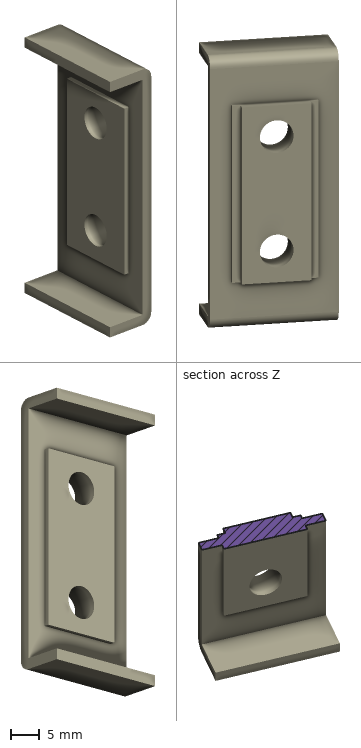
import cadquery as cq

width = 23.0
height = 50.0
wall = 2.0
flange_reach = 9.5
bend_radius = 2.0

pad_width = 15.5
pad_height = 32.5
front_pad_thickness = 1.0
rear_pad_thickness = 0.8
rear_step_width = 12.5
rear_step_thickness = 1.2

hole_diameter = 6.0
hole_spacing = 21.0

web_front = -wall
front_pad_face = web_front - front_pad_thickness
rear_step_face = rear_pad_thickness + rear_step_thickness


def block(size_x, size_z, y_start, y_end):
    """Box centred in X and Z, spanning y_start to y_end."""
    depth = y_end - y_start
    return cq.Workplane("XY").box(size_x, depth, size_z).translate((0, (y_start + y_end) / 2, 0))


def make_channel():
    outer = block(width, height, -flange_reach, 0).edges("|X and >Y").fillet(bend_radius)
    opening = block(width, height - 2 * wall, -flange_reach, web_front)
    return outer.cut(opening)


def make_pads():
    wide_pad = block(pad_width, pad_height, front_pad_face, rear_pad_thickness)
    rear_step = block(rear_step_width, pad_height, rear_pad_thickness, rear_step_face)
    return wide_pad.union(rear_step)


def make_holes():
    length = rear_step_face - front_pad_face
    return (
        cq.Workplane("XZ", origin=(0, rear_step_face, 0))
        .pushPoints([(0, -hole_spacing / 2), (0, hole_spacing / 2)])
        .circle(hole_diameter / 2)
        .extrude(length)
    )


result = make_channel().union(make_pads()).cut(make_holes())